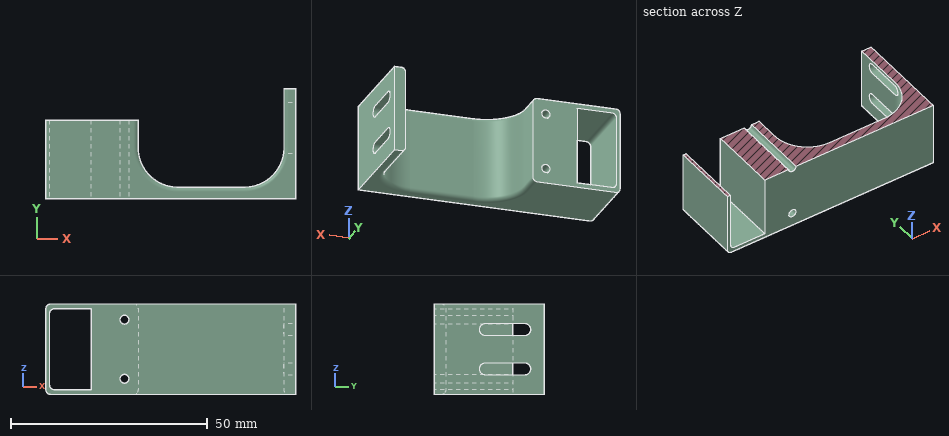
import cadquery as cq

length = 63.5
depth = 28.0
height = 23.0

block_length = 23.5
block_depth = 20.0
floor_thickness = 3.0
wall_thickness = 3.0
saddle_radius = 10.0
edge_radius = 1.2

window_side_wall = 1.0
window_top_wall = 1.25
window_width = 10.5
window_corner_radius = edge_radius

hole_diameter = 2.2
hole_x = 20.0
hole_spacing = 15.0

slot_width = 3.0
slot_center_distance = 10.0
slot_center_y = 18.0
slot_spacing = 10.0
slot_entry_clearance = 1.0

mid_z = height / 2
wall_inner_x = length - wall_thickness
arc_top_y = floor_thickness + saddle_radius


def make_body():
    """Plan outline with the round-cornered saddle, extruded to full height."""
    return (
        cq.Workplane("XY")
        .moveTo(0, 0)
        .lineTo(length, 0)
        .lineTo(length, depth)
        .lineTo(wall_inner_x, depth)
        .lineTo(wall_inner_x, arc_top_y)
        .radiusArc((wall_inner_x - saddle_radius, floor_thickness), saddle_radius)
        .lineTo(block_length + saddle_radius, floor_thickness)
        .radiusArc((block_length, arc_top_y), saddle_radius)
        .lineTo(block_length, block_depth)
        .lineTo(0, block_depth)
        .close()
        .extrude(height)
    )


def round_edges(body):
    """Round the upper and lower edges of the saddle and of the block's outer side."""
    margin = 0.1
    saddle_edges = cq.selectors.BoxSelector(
        (block_length - margin, floor_thickness - margin, -margin),
        (wall_inner_x + margin, depth + margin, height + margin),
        boundingbox=True,
    )
    rounded = body.edges("#Z").edges(saddle_edges).fillet(edge_radius)
    return rounded.faces("<X").edges("|Y").fillet(edge_radius)


def make_window():
    """Window cutter, rounded only at the corners beside the thin side wall."""
    return (
        cq.Workplane("XY")
        .box(window_width, block_depth, height - 2 * window_top_wall, centered=(False, False, True))
        .translate((window_side_wall, 0, mid_z))
        .faces("<X")
        .edges("|Y")
        .fillet(window_corner_radius)
    )


def make_holes():
    """Pair of round hole cutters running through the block along Y."""
    return (
        cq.Workplane("XZ", origin=(hole_x, 0, mid_z))
        .rarray(1, hole_spacing, 1, 2)
        .circle(hole_diameter / 2)
        .extrude(-block_depth)
    )


def make_slots():
    """Pair of slot cutters running through the end wall, starting inside the saddle."""
    cutter_length = wall_thickness + slot_entry_clearance
    return (
        cq.Workplane("YZ", origin=(length - cutter_length, slot_center_y, mid_z))
        .rarray(1, slot_spacing, 1, 2)
        .slot2D(slot_center_distance + slot_width, slot_width)
        .extrude(cutter_length)
    )


result = round_edges(make_body()).cut(make_window()).cut(make_holes()).cut(make_slots())